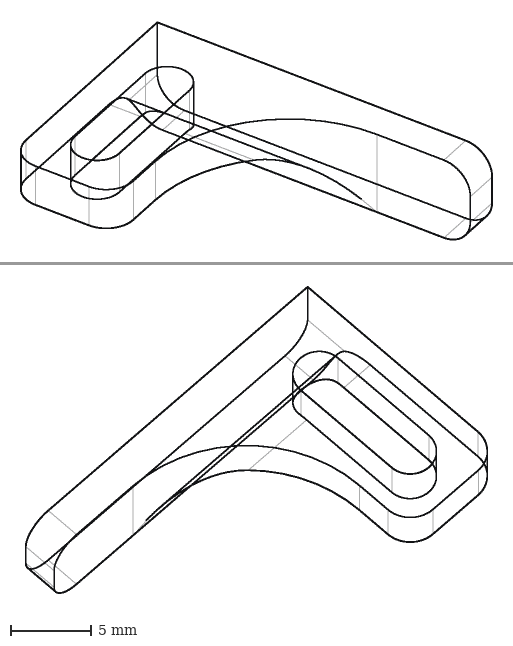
import cadquery as cq
import math

LENGTH = 25.0
DEPTH = 17.0
HEIGHT = 6.0

LEG_WIDTH = 8.0
PLATE_THICKNESS = 3.0
FLANGE_THICKNESS = 2.5
CORNER_RADIUS = 2.0
INNER_BEND_RADIUS = 10.0

COVE_RADIUS = HEIGHT - PLATE_THICKNESS

SLOT_WIDTH = 3.3
SLOT_TRAVEL = 8.0
SLOT_X = LEG_WIDTH / 2
SLOT_Y = -9.0

ARC_MIDPOINT = math.sqrt(0.5)


def plan_body():
    """Full-height L outline with the large inner bend and rounded leg end."""
    bend_x = LEG_WIDTH + INNER_BEND_RADIUS
    bend_y = -FLANGE_THICKNESS - INNER_BEND_RADIUS
    bend_offset = INNER_BEND_RADIUS * ARC_MIDPOINT
    body = (
        cq.Workplane("XY")
        .lineTo(LENGTH, 0)
        .lineTo(LENGTH, -FLANGE_THICKNESS)
        .lineTo(bend_x, -FLANGE_THICKNESS)
        .threePointArc((bend_x - bend_offset, bend_y + bend_offset), (LEG_WIDTH, bend_y))
        .lineTo(LEG_WIDTH, -DEPTH)
        .lineTo(0, -DEPTH)
        .close()
        .extrude(HEIGHT)
    )
    return body.faces("<Y").edges("|Z").fillet(CORNER_RADIUS)


def side_profile():
    """Plate and flange section along X, joined by the quarter-round cove."""
    cove_y = -FLANGE_THICKNESS - COVE_RADIUS
    cove_offset = COVE_RADIUS * ARC_MIDPOINT
    return (
        cq.Workplane("YZ")
        .lineTo(0, HEIGHT)
        .lineTo(-DEPTH, HEIGHT)
        .lineTo(-DEPTH, COVE_RADIUS)
        .lineTo(cove_y, COVE_RADIUS)
        .threePointArc((cove_y + cove_offset, cove_offset), (-FLANGE_THICKNESS, 0))
        .close()
        .extrude(LENGTH)
    )


def front_profile():
    """Envelope with both right corners and the lower left corner rounded."""
    envelope = cq.Workplane("XY").box(LENGTH, DEPTH, HEIGHT, centered=False)
    envelope = envelope.translate((0, -DEPTH, 0))
    envelope = envelope.faces(">X").edges("|Y").fillet(CORNER_RADIUS)
    return envelope.faces("<X").edges("<Z").fillet(CORNER_RADIUS)


def slot_cutter():
    """Through slot running along the leg."""
    return (
        cq.Workplane("XY")
        .center(SLOT_X, SLOT_Y)
        .slot2D(SLOT_TRAVEL + SLOT_WIDTH, SLOT_WIDTH, 90)
        .extrude(HEIGHT)
    )


result = plan_body().intersect(side_profile()).intersect(front_profile()).cut(slot_cutter())